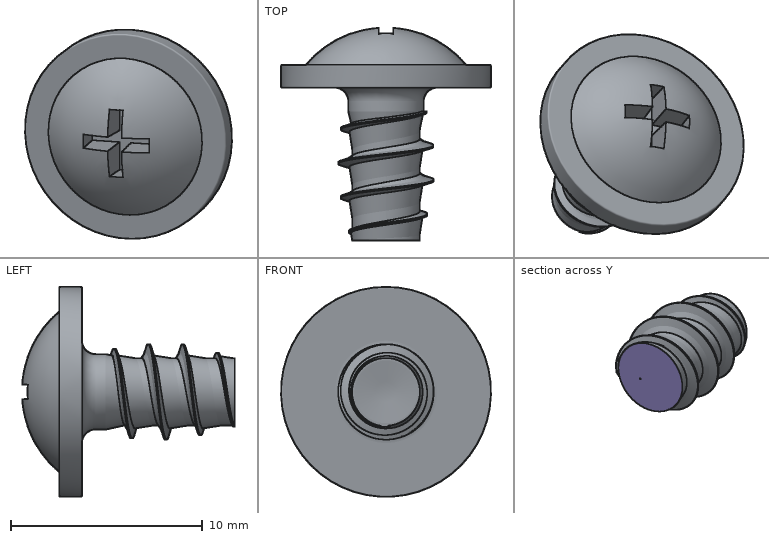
import cadquery as cq
import math


flange_radius = 5.5
flange_thickness = 1.2
flange_edge_round = 0.08
dome_radius = 4.2
head_height = 3.165

recess_width = 0.76
recess_draft = 2.0
recess_reach = 1.8
recess_depth = head_height - flange_thickness

shank_radius = 1.98
neck_fillet = 0.7
shank_end = -1.24
screw_length = 8.0
tip_stock = 1.5
core_radius = 1.77
shank_taper_length = 0.95
tip_dish_radius = 1.64
tip_dish_depth = 0.17

pitch = 1.8
crest_radius = 2.5
crest_half_width = 0.04
first_turn = -0.3
turn_joints = [0.25, 2.25]
last_turn = 3.77
stations_per_turn = 24

run_in_end = 1.25
run_in_drop = 0.38
run_out_start = 2.2
run_out_drop_per_turn = 0.43

upper_flank_slope = 0.3
lower_flank_height = 0.28
lower_flank_slope = 0.68
lower_flank_start_radius = 2.0
tip_flank_slope = 0.29
cone_start_radius = 1.92
cone_height_share = 0.4
cone_slope = 0.16
root_overlap = 0.02
thread_base_radius = 1.5


def axial_plane():
    """Plane through the screw axis: local x runs along +Z, local y along +Y."""
    return cq.Workplane(cq.Plane(origin=(0, 0, 0), xDir=(0, 0, 1), normal=(-1, 0, 0)))


def make_body():
    """Head, neck, shank and core as one revolved profile, with stock beyond the tip."""
    arc_centre_y = (head_height ** 2 - flange_thickness ** 2 - dome_radius ** 2) / (
        2 * (head_height - flange_thickness)
    )
    arc_radius = head_height - arc_centre_y
    mid_x = dome_radius / 2
    mid_y = arc_centre_y + math.sqrt(arc_radius ** 2 - mid_x ** 2)
    neck_mid = neck_fillet * (1 - math.sqrt(0.5))

    profile = (
        axial_plane()
        .moveTo(0, head_height)
        .threePointArc((mid_x, mid_y), (dome_radius, flange_thickness))
        .lineTo(flange_radius, flange_thickness)
        .lineTo(flange_radius, 0)
        .lineTo(shank_radius + neck_fillet, 0)
        .threePointArc(
            (shank_radius + neck_mid, -neck_mid),
            (shank_radius, -neck_fillet),
        )
        .lineTo(shank_radius, shank_end)
        .lineTo(core_radius, shank_end - shank_taper_length)
        .lineTo(core_radius, -screw_length - tip_stock)
        .lineTo(0, -screw_length - tip_stock)
        .close()
    )
    body = profile.revolve(360, (0, 0, 0), (0, 1, 0))
    rims = body.edges(cq.selectors.RadiusNthSelector(-1))
    return rims.fillet(flange_edge_round)


def crest_radius_at(turn):
    """Crest radius, rising over the run-in and falling over the run-out."""
    run_in = max(0, 1 - turn / run_in_end)
    run_out = max(0, turn - run_out_start)
    drop = run_in_drop * run_in ** 2 + run_out_drop_per_turn * run_out
    return crest_radius - drop


def thread_section(turn):
    """Corners (offset towards the tip, radius) of the thread section at a turn."""
    crest = crest_radius_at(turn)
    root_radius = core_radius - root_overlap

    fade = (crest - lower_flank_start_radius) / (crest_radius - lower_flank_start_radius)
    knee_radius = core_radius + lower_flank_height * max(0, fade)
    knee = -crest_half_width - upper_flank_slope * (crest - knee_radius)
    foot = knee - lower_flank_slope * (knee_radius - root_radius)

    ridge_height = crest - core_radius
    cone_radius = min(cone_start_radius, core_radius + cone_height_share * ridge_height)
    cone_start = crest_half_width + tip_flank_slope * (crest - cone_radius)
    cone_end = cone_start + (cone_radius - root_radius) / cone_slope
    return [
        (foot, thread_base_radius),
        (foot, root_radius),
        (knee, knee_radius),
        (-crest_half_width, crest),
        (crest_half_width, crest),
        (cone_start, cone_radius),
        (cone_end, root_radius),
        (cone_end, thread_base_radius),
    ]


def helix_point(turn, offset, radius):
    """Point of the helix at a turn, shifted by offset towards the tip."""
    angle = 2 * math.pi * turn
    y = shank_end - pitch * turn - offset
    return cq.Vector(radius * math.cos(angle), y, radius * math.sin(angle))


def make_thread_segment(start, end):
    """Solid bounded by helical faces between the tracks of the section corners."""
    station_count = math.ceil((end - start) * stations_per_turn)
    step = (end - start) / station_count
    stations = []
    for i in range(station_count + 1):
        turn = start + step * i
        stations.append([helix_point(turn, offset, radius) for offset, radius in thread_section(turn)])

    tracks = [cq.Edge.makeSpline(list(track)) for track in zip(*stations)]
    next_tracks = tracks[1:] + tracks[:1]
    faces = [
        cq.Face.makeRuledSurface(track, next_track)
        for track, next_track in zip(tracks, next_tracks)
    ]
    for section in (stations[0], stations[-1]):
        faces.append(cq.Face.makeFromWires(cq.Wire.makePolygon(section, close=True)))
    return cq.Workplane(cq.Solid.makeSolid(cq.Shell.makeShell(faces)).fix())


def make_cylinder(radius, start_y, end_y):
    """Cylinder about the screw axis from start_y down to end_y."""
    return cq.Workplane(
        cq.Solid.makeCylinder(radius, start_y - end_y, cq.Vector(0, end_y, 0), cq.Vector(0, 1, 0))
    )


def add_thread(body):
    """Join the thread to the shank, one segment at a time, then cut the tip flat."""
    stock_end = -screw_length - 2 * tip_stock
    threaded_zone = make_cylinder(flange_radius, shank_end, stock_end)
    limits = [first_turn] + turn_joints + [last_turn]
    for start, end in zip(limits, limits[1:]):
        segment = make_thread_segment(start, end)
        if start == first_turn:
            segment = segment.intersect(threaded_zone)
        body = body.union(segment)
    return body.cut(make_cylinder(flange_radius, -screw_length, stock_end))


def make_recess():
    """Two crossed, drafted slots sunk into the dome."""
    draft_narrowing = 2 * recess_depth * math.tan(math.radians(recess_draft))
    floor_width = recess_width - draft_narrowing
    floor_y = head_height - recess_depth
    wing = (
        cq.Workplane("XY")
        .polyline(
            [
                (-floor_width / 2, floor_y),
                (floor_width / 2, floor_y),
                (recess_width / 2, head_height),
                (-recess_width / 2, head_height),
            ]
        )
        .close()
        .extrude(recess_reach, both=True)
    )
    return wing.union(wing.rotate((0, 0, 0), (0, 1, 0), 90))


def make_tip_dish():
    """Shallow cone hollowed into the tip face."""
    return (
        axial_plane()
        .moveTo(0, -screw_length)
        .lineTo(tip_dish_radius, -screw_length)
        .lineTo(0, -screw_length + tip_dish_depth)
        .close()
        .revolve(360, (0, 0, 0), (0, 1, 0))
    )


screw = add_thread(make_body()).cut(make_recess()).cut(make_tip_dish())
result = cq.Workplane(screw.solids().val())